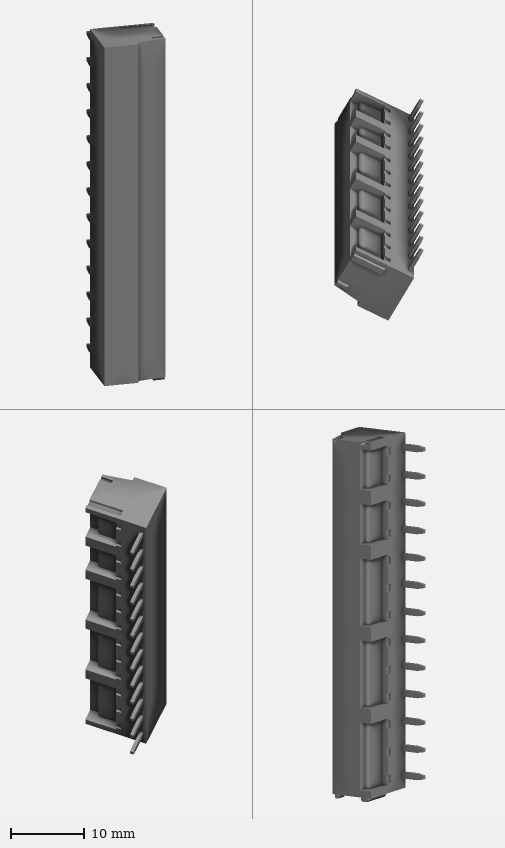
import cadquery as cq

pitch = 3.81
poles_per_window = (2, 2, 3, 3, 3)
pole_count = sum(poles_per_window)
body_length = pole_count * pitch

body_width = 7.4
body_depth = 9.0
ledge_y = 4.8
slope_foot_x = 6.78
slope_head_x = 6.15

pin_length = 3.5
pin_thickness = 0.5
pin_height = 0.9
pin_center_y = 0.7
pin_tip_length = 1.0
pin_tip_height = 0.5

window_margin = 0.9
window_end_y = 4.49
window_depth = 1.15
throat_edge_y = 7.8
throat_radius = 0.6
throat_depth = window_depth + throat_radius

notch_height = 1.1
notch_width = 0.8
notch_depth = 0.3

key_height = 0.55
key_widest_at = 0.3
wide_key_center_x = 1.05
wide_key_widths = (0.95, 1.15, 0.85)
wide_key_length = 4.75
narrow_key_center_x = 5.48
narrow_key_widths = (0.6, 0.6, 0.4)
narrow_key_length = 1.6

groove_depth = 0.4
groove_widest_at = 0.15
wide_groove_widths = (1.0, 1.18, 0.9)
wide_groove_length = 4.95
narrow_groove_widths = (0.52, 0.6, 0.52)
narrow_groove_length = 1.75


def pole_z(index):
    """Height of a pole's centre, counted from the top."""
    return body_length - (index + 0.5) * pitch


def make_housing():
    outline = [
        (0, 0),
        (body_width, 0),
        (body_width, ledge_y),
        (slope_foot_x, ledge_y),
        (slope_head_x, body_depth),
        (0, body_depth),
    ]
    return cq.Workplane("XY").polyline(outline).close().extrude(body_length)


def make_pin(center_z):
    half_height = pin_height / 2
    half_tip = pin_tip_height / 2
    taper_x = pin_tip_length - pin_length
    outline = [
        (0, center_z - half_height),
        (0, center_z + half_height),
        (taper_x, center_z + half_height),
        (-pin_length, center_z + half_tip),
        (-pin_length, center_z - half_tip),
        (taper_x, center_z - half_height),
    ]
    plane = cq.Workplane("XZ", origin=(0, pin_center_y, 0))
    return plane.polyline(outline).close().extrude(pin_thickness / 2, both=True)


def make_window(first_pole, last_pole):
    """Pocket open at Y = body_depth, its floor rounding over into a deeper throat there."""
    bottom = pole_z(last_pole) - window_margin
    top = pole_z(first_pole) + window_margin
    return (
        cq.Workplane("XY", origin=(0, 0, bottom))
        .moveTo(0, window_end_y)
        .lineTo(window_depth, window_end_y)
        .lineTo(window_depth, throat_edge_y - throat_radius)
        .radiusArc((throat_depth, throat_edge_y), throat_radius)
        .lineTo(throat_depth, body_depth)
        .lineTo(0, body_depth)
        .close()
        .extrude(top - bottom)
    )


def make_notch(center_z):
    center_y = window_end_y - notch_width / 2
    notch = cq.Workplane("XY").box(notch_depth, notch_width, notch_height)
    return notch.translate((notch_depth / 2, center_y, center_z))


def make_bar(center_x, base_z, widths, widest_at, height, length):
    """Bar hanging from base_z; widths are given at the base, the widest level and the tip."""
    base, widest, tip = [width / 2 for width in widths]
    outline = [
        (center_x - base, base_z),
        (center_x - widest, base_z - widest_at),
        (center_x - tip, base_z - height),
        (center_x + tip, base_z - height),
        (center_x + widest, base_z - widest_at),
        (center_x + base, base_z),
    ]
    plane = cq.Workplane("XZ", origin=(0, body_depth, 0))
    return plane.polyline(outline).close().extrude(length)


def make_key(center_x, widths, length):
    return make_bar(center_x, 0, widths, key_widest_at, key_height, length)


def make_groove(center_x, widths, length):
    return make_bar(center_x, body_length, widths, groove_widest_at, groove_depth, length)


result = make_housing()

first_pole = 0
for window_poles in poles_per_window:
    last_pole = first_pole + window_poles - 1
    result = result.cut(make_window(first_pole, last_pole))
    first_pole = last_pole + 1

for pole in range(pole_count):
    result = result.cut(make_notch(pole_z(pole)))
    result = result.union(make_pin(pole_z(pole)))

result = result.cut(make_groove(wide_key_center_x, wide_groove_widths, wide_groove_length))
result = result.cut(make_groove(narrow_key_center_x, narrow_groove_widths, narrow_groove_length))
result = result.union(make_key(wide_key_center_x, wide_key_widths, wide_key_length))
result = result.union(make_key(narrow_key_center_x, narrow_key_widths, narrow_key_length))